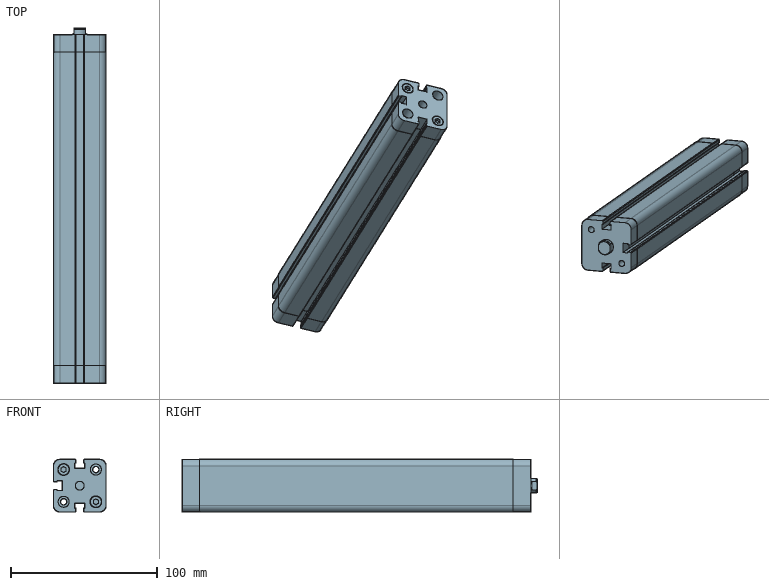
import cadquery as cq

housing_length = 238.0
rod_projection = 4.5
end_cap_length = 12.0
front_y = -housing_length / 2
back_y = housing_length / 2

tube_width = 36.1
end_cap_width = 35.8
corner_radius = 4.5

slot_mouth_width = 5.2
slot_inner_width = 6.5
slot_mouth_chamfer = 0.5
slot_lip_thickness = 2.5
slot_depth = 6.0
slot_angles = (0, 90, 180)

fixing_offset = 11.0
through_hole_diameter = 4.13
counterbore_diameter = 7.5
screw_seat_diameter = 8.0
counterbore_depth = 8.0
screw_head_diameter = 7.5
socket_sides = 6
socket_width = 3.5
socket_depth = 2.0

port_diameter = 6.0
port_depth = 8.0

rod_diameter = 10.0
rod_flat_width = 8.0
flat_shoulder = 0.3
flat_runout_radius = 1.0
rod_taper_length = 1.0
rod_taper_inset = 0.5


def cylinder(x, z, start_y, diameter, length):
    """Cylinder running in +Y from start_y."""
    centre = cq.Vector(x, start_y, z)
    return cq.Workplane(obj=cq.Solid.makeCylinder(diameter / 2, length, centre, cq.Vector(0, 1, 0)))


def slot_cutter(section_width, start_y, length):
    """T-slot open towards +Z, sized from the surface of a section of the given width."""
    surface = section_width / 2
    mouth_half = slot_mouth_width / 2
    inner_half = slot_inner_width / 2
    lip_z = surface - slot_lip_thickness
    floor_z = surface - slot_depth
    right_side = [
        (inner_half, floor_z),
        (inner_half, lip_z),
        (mouth_half, lip_z),
        (mouth_half, surface - slot_mouth_chamfer),
        (mouth_half + slot_mouth_chamfer, surface),
    ]
    left_side = [(-x, z) for x, z in reversed(right_side)]
    profile = cq.Workplane("XZ").polyline(right_side + left_side).close()
    return profile.extrude(-length).translate((0, start_y, 0))


def slotted_bar(width, start_y, length):
    """Square bar with rounded long edges and T-slots, running in +Y from start_y."""
    bar = cq.Workplane("XY").box(width, length, width).edges("|Y").fillet(corner_radius)
    bar = bar.translate((0, start_y + length / 2, 0))
    cutter = slot_cutter(width, start_y, length)
    for angle in slot_angles:
        bar = bar.cut(cutter.rotate((0, 0, 0), (0, 1, 0), -angle))
    return bar


def make_housing():
    """Profiled tube between two end caps."""
    tube_length = housing_length - 2 * end_cap_length
    front_cap = slotted_bar(end_cap_width, front_y, end_cap_length)
    tube = slotted_bar(tube_width, front_y + end_cap_length, tube_length)
    back_cap = slotted_bar(end_cap_width, back_y - end_cap_length, end_cap_length)
    return front_cap.union(tube).union(back_cap)


def cut_through_fixing(body, x, z):
    """Bolt hole along the whole housing, counterbored at the front."""
    body = body.cut(cylinder(x, z, front_y, counterbore_diameter, counterbore_depth))
    return body.cut(cylinder(x, z, front_y, through_hole_diameter, housing_length))


def add_screw_fixing(body, x, z):
    """Counterbore filled by a flush hexagon-socket screw."""
    body = body.cut(cylinder(x, z, front_y, screw_seat_diameter, counterbore_depth))
    head = cylinder(x, z, front_y, screw_head_diameter, counterbore_depth)
    hexagon = cq.Workplane("XZ").polygon(socket_sides, socket_width, circumscribed=True)
    socket = hexagon.extrude(-socket_depth)
    head = head.cut(socket.translate((x, front_y, z)))
    return body.union(head)


def make_rod():
    """Rod end with a slim lead-in chamfer and two flats facing -X and +X."""
    rod = cylinder(0, 0, back_y, rod_diameter, rod_projection)
    rod = rod.faces(">Y").chamfer(rod_taper_length, rod_taper_inset)
    flat_length = rod_projection - flat_shoulder
    cut_width = rod_diameter - rod_flat_width
    cut_x = (rod_flat_width + cut_width) / 2
    cut_y = back_y + flat_shoulder + flat_length / 2
    for side in (-1, 1):
        cutter = cq.Workplane("XY").box(cut_width, flat_length, rod_diameter)
        inner_face = "<X" if side > 0 else ">X"
        cutter = cutter.faces("<Y").edges(inner_face).fillet(flat_runout_radius)
        rod = rod.cut(cutter.translate((side * cut_x, cut_y, 0)))
    return rod


result = make_housing()
for sign in (-1, 1):
    result = cut_through_fixing(result, sign * fixing_offset, sign * fixing_offset)
    result = add_screw_fixing(result, sign * fixing_offset, -sign * fixing_offset)
result = result.cut(cylinder(0, 0, front_y, port_diameter, port_depth))
result = result.union(make_rod())